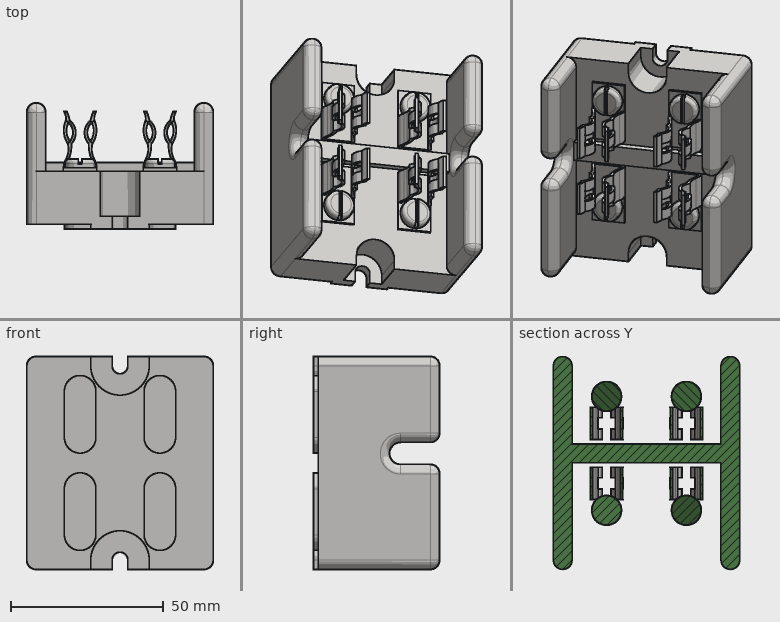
import cadquery as cq


WIDTH = 61.2
HEIGHT = 69.85
DEPTH = 41.4
PAD_RISE = 1.6
WALL_TOP_Y = DEPTH - PAD_RISE
WALL_THICKNESS = 6.3
EDGE_RADIUS = WALL_THICKNESS / 2
WALL_MIDDLE_X = (WIDTH - WALL_THICKNESS) / 2
FLOOR_Y = 17.4

SLOT_Z = 3.15
SLOT_RADIUS = 3.55
SLOT_CENTRE_Y = 26.95

BARRIER_TOP_Y = SLOT_CENTRE_Y - SLOT_RADIUS - EDGE_RADIUS
BARRIER_WIDTH = 6.3

NOTCH_INSET = 3.15
BOSS_RADIUS = 9.6
BOLT_RADIUS = 2.5
BOLT_HEAD_RADIUS = 6.5
BOLT_HEAD_Y = 2.65

POLE_X = 13.05
PAD_Z = 15.9
PAD_WIDTH = 10.35
PAD_LENGTH = 25.4

CLIP_WIDTH = 11.05
CLIP_PLATE = 1.05
STRIP_COUNT = 3
STRIP_WIDTH = 3.55
LEG_LENGTH = STRIP_COUNT * STRIP_WIDTH
LEG_THICKNESS = 1.0
FORK_THICKNESS = 1.3
LEG_START = 4.5
LEG_END = LEG_START + LEG_LENGTH

LEG_ROOT = (CLIP_WIDTH / 2 - LEG_THICKNESS / 2, CLIP_PLATE)
FOOT_MIDDLE = (4.7, 2.7)
FOOT_TOP = (4.1, 4.05)
WAIST = (3.35, 7.1)
LOWER_FORK = (3.4, 9.1)
INNER_BOW = (1.9, 12.7)
OUTER_BOW = (4.9, 12.8)
UPPER_FORK = (4.05, 16.6)
TIP_MIDDLE = (4.25, 18.15)
TIP = (4.8, 19.55)

HEAD_RADIUS = 4.9
HEAD_HEIGHT = 3.0
HEAD_ROUNDING = 1.4
DRIVE_WIDTH = 1.1
DRIVE_DEPTH = 1.75
SCREW_GAP = 3.5
SCREW_OFFSET = LEG_END + SCREW_GAP
PLATE_END = SCREW_OFFSET + CLIP_WIDTH / 2


def box(x_range, y_range, z_range):
    """Box between two limits on each axis."""
    sizes = [high - low for low, high in (x_range, y_range, z_range)]
    corner = (x_range[0], y_range[0], z_range[0])
    return cq.Workplane("XY").box(*sizes, centered=False).translate(corner)


def y_cylinder(radius, x, z, y_start, y_end):
    """Cylinder along Y."""
    axis_start = cq.Vector(x, y_start, z)
    solid = cq.Solid.makeCylinder(radius, y_end - y_start, axis_start, cq.Vector(0, 1, 0))
    return cq.Workplane(obj=solid)


def end_notch(radius, y_start, y_end, end):
    """U shape of the given radius, open towards the end face at +Z (end = 1) or -Z (end = -1)."""
    centre_z = end * (HEIGHT / 2 - NOTCH_INSET)
    z_range = sorted((centre_z, end * HEIGHT / 2))
    straight = box((-radius, radius), (y_start, y_end), z_range)
    return y_cylinder(radius, 0, centre_z, y_start, y_end).union(straight)


def half_wall():
    """Outer half of the +X wall; its full rim is rounded except at the mounting face."""
    slab = box((0, WALL_THICKNESS), (0, WALL_TOP_Y), (-HEIGHT / 2, HEIGHT / 2))
    slot_straight = box(
        (0, WALL_THICKNESS),
        (SLOT_CENTRE_Y, WALL_TOP_Y),
        (SLOT_Z - SLOT_RADIUS, SLOT_Z + SLOT_RADIUS),
    )
    slot_end = (
        cq.Workplane("YZ").center(SLOT_CENTRE_Y, SLOT_Z).circle(SLOT_RADIUS).extrude(WALL_THICKNESS)
    )
    slab = slab.cut(slot_straight).cut(slot_end)
    rim = slab.faces(">X").edges("not <Y").add(slab.edges("|X and >Y"))
    slab = slab.newObject(rim.vals()).fillet(EDGE_RADIUS)
    outer_half = box((EDGE_RADIUS, WALL_THICKNESS), (0, WALL_TOP_Y), (-HEIGHT / 2, HEIGHT / 2))
    return slab.intersect(outer_half).translate((WALL_MIDDLE_X - EDGE_RADIUS, 0, 0))


def make_housing():
    block_x = (-WALL_MIDDLE_X, WALL_MIDDLE_X)
    body = box(block_x, (0, FLOOR_Y), (-HEIGHT / 2, HEIGHT / 2))
    barrier_z = (SLOT_Z - BARRIER_WIDTH / 2, SLOT_Z + BARRIER_WIDTH / 2)
    body = body.union(box(block_x, (0, BARRIER_TOP_Y), barrier_z))

    pads = (
        cq.Workplane("XZ")
        .rarray(2 * POLE_X, 2 * PAD_Z, 2, 2)
        .slot2D(PAD_LENGTH, PAD_WIDTH, 90)
        .extrude(PAD_RISE)
    )
    body = body.union(pads)

    for end in (-1, 1):
        boss = end_notch(BOSS_RADIUS, -PAD_RISE, 0, end)
        body = body.union(boss.intersect(box(block_x, (-PAD_RISE, 0), (-HEIGHT / 2, HEIGHT / 2))))
        body = body.cut(end_notch(BOLT_RADIUS, -PAD_RISE, BOLT_HEAD_Y, end))
        body = body.cut(end_notch(BOLT_HEAD_RADIUS, BOLT_HEAD_Y, FLOOR_Y, end))

    outer = half_wall()
    body = body.union(outer).union(outer.mirror("YZ"))
    inner = outer.mirror("YZ", (WALL_MIDDLE_X, 0, 0))
    inner = inner.intersect(box((0, WIDTH), (BOLT_HEAD_Y, WALL_TOP_Y), (-HEIGHT / 2, HEIGHT / 2)))
    return body.union(inner, clean=False).union(inner.mirror("YZ"), clean=False)


def leg_strip(bow, start_z):
    """One strip of a leg, bowed through the given point, for a clip on the XY plane's origin."""
    centre_line = [LEG_ROOT, FOOT_MIDDLE, FOOT_TOP, WAIST, LOWER_FORK, bow, UPPER_FORK, TIP_MIDDLE, TIP]
    near_side = []
    far_side = []
    for x, y in centre_line:
        at_fork = (x, y) in (LOWER_FORK, UPPER_FORK)
        half = (FORK_THICKNESS if at_fork else LEG_THICKNESS) / 2
        near_side.append((x - half, y))
        far_side.insert(0, (x + half, y))
    outline = cq.Workplane("XY", origin=(0, 0, start_z)).moveTo(*near_side[0])
    for middle, end in zip(near_side[1::2], near_side[2::2]):
        outline = outline.threePointArc(middle, end)
    outline = outline.lineTo(*far_side[0])
    for middle, end in zip(far_side[1::2], far_side[2::2]):
        outline = outline.threePointArc(middle, end)
    return outline.close().extrude(STRIP_WIDTH)


def make_clip():
    """Clip with its middle on X = 0, standing on Y = 0; Z is measured from the slot middle."""
    half_width = CLIP_WIDTH / 2
    clip = box((-half_width, half_width), (0, CLIP_PLATE), (LEG_START, PLATE_END))
    for index in range(STRIP_COUNT):
        bow = OUTER_BOW if index % 2 else INNER_BOW
        strip = leg_strip(bow, LEG_START + index * STRIP_WIDTH)
        clip = clip.union(strip).union(strip.mirror("YZ"))
    return clip


def make_screw():
    """Slotted screw head resting on the clip plate, in the same frame as the clip."""
    top_y = CLIP_PLATE + HEAD_HEIGHT
    head = y_cylinder(HEAD_RADIUS, 0, SCREW_OFFSET, CLIP_PLATE, top_y)
    head = head.faces(">Y").edges().fillet(HEAD_ROUNDING)
    drive_slot = box(
        (-DRIVE_WIDTH / 2, DRIVE_WIDTH / 2),
        (top_y - DRIVE_DEPTH, top_y),
        (SCREW_OFFSET - HEAD_RADIUS, SCREW_OFFSET + HEAD_RADIUS),
    )
    return head.cut(drive_slot)


def at_terminals(part):
    """Copies of a clip or screw at the four terminals, the lower ones mirrored about the slot."""
    copies = []
    for pole_x in (-POLE_X, POLE_X):
        for oriented in (part, part.mirror("XY")):
            copies.append(oriented.translate((pole_x, FLOOR_Y, SLOT_Z)).val())
    return copies


housing = make_housing()
clips = at_terminals(make_clip())
screws = at_terminals(make_screw())

result = cq.Compound.makeCompound([housing.val(), *clips, *screws])